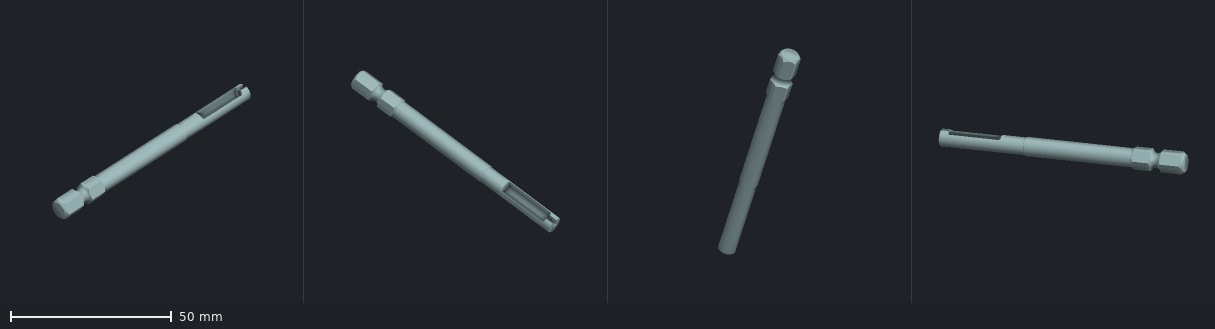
import cadquery as cq
import math

TOTAL_LENGTH = 80.0

HEX_ACROSS_FLATS = 6.35
HEX_LENGTH = 17.0
HEX_CORNER_RADIUS = HEX_ACROSS_FLATS / math.sqrt(3)
END_FACE_RADIUS = 2.8
END_CHAMFER_LENGTH = 1.1
SHOULDER_CHAMFER_LENGTH = 0.6

GROOVE_Y = 9.3
GROOVE_FLOOR_RADIUS = 2.33
GROOVE_ARC_RADIUS = 1.9

BODY_RADIUS = 3.0
BODY_END_Y = 52.3
BODY_CHAMFER = 0.15
ROD_RADIUS = 2.77
TIP_CHAMFER = 0.25

TROUGH_RADIUS = 2.05
TROUGH_CORNER_RADIUS = 0.65
TROUGH_START_Y = 60.05
TROUGH_END_Y = TOTAL_LENGTH - 2.75

BORE_RADIUS = 1.4
BORE_END_Y = TOTAL_LENGTH - 1.7
BORE_TAPER_LENGTH = 0.3

SLOT_WIDTH = 1.7
SLOT_FLOOR_Z = -0.4

CLEARANCE = 1.0


def revolve_about_axis(profile):
    """Revolve a closed profile, drawn as (radius, Y), about the Y axis."""
    return profile.close().revolve(360, (0, 0, 0), (0, 1, 0))


def box_between(x_half, y_start, y_end, z_start, z_end):
    """Box centred on X = 0 that spans the given Y and Z ranges."""
    return (
        cq.Workplane("XY")
        .box(2 * x_half, y_end - y_start, z_end - z_start, centered=(True, False, False))
        .translate((0, y_start, z_start))
    )


def make_hex_shank():
    """Hexagonal bar with flats facing +Z and -Z and conical chamfers at both ends."""
    prism = (
        cq.Workplane("XZ")
        .polygon(6, 2 * HEX_CORNER_RADIUS)
        .extrude(-HEX_LENGTH)
    )
    envelope = revolve_about_axis(
        cq.Workplane("XY")
        .moveTo(0, 0)
        .lineTo(END_FACE_RADIUS, 0)
        .lineTo(HEX_CORNER_RADIUS, END_CHAMFER_LENGTH)
        .lineTo(HEX_CORNER_RADIUS, HEX_LENGTH - SHOULDER_CHAMFER_LENGTH)
        .lineTo(BODY_RADIUS, HEX_LENGTH)
        .lineTo(0, HEX_LENGTH)
    )
    return prism.intersect(envelope)


def make_locking_groove():
    """Ring of circular section that cuts the groove around the shank."""
    ring_radius = GROOVE_FLOOR_RADIUS + GROOVE_ARC_RADIUS
    return (
        cq.Workplane("XY")
        .moveTo(ring_radius, GROOVE_Y)
        .circle(GROOVE_ARC_RADIUS)
        .revolve(360, (0, 0, 0), (0, 1, 0))
    )


def make_round_body():
    """Body and thinner rod in one turned piece, chamfered at the step and the tip."""
    return revolve_about_axis(
        cq.Workplane("XY")
        .moveTo(0, HEX_LENGTH)
        .lineTo(BODY_RADIUS, HEX_LENGTH)
        .lineTo(BODY_RADIUS, BODY_END_Y - BODY_CHAMFER)
        .lineTo(BODY_RADIUS - BODY_CHAMFER, BODY_END_Y)
        .lineTo(ROD_RADIUS, BODY_END_Y)
        .lineTo(ROD_RADIUS, TOTAL_LENGTH - TIP_CHAMFER)
        .lineTo(ROD_RADIUS - TIP_CHAMFER, TOTAL_LENGTH)
        .lineTo(0, TOTAL_LENGTH)
    )


def make_trough():
    """U-shaped trough: round bore below, straight-walled opening with rounded corners above."""
    length = TROUGH_END_Y - TROUGH_START_Y
    round_floor = (
        cq.Workplane("XZ", origin=(0, TROUGH_START_Y, 0))
        .circle(TROUGH_RADIUS)
        .extrude(-length)
    )
    opening = box_between(
        TROUGH_RADIUS, TROUGH_START_Y, TROUGH_END_Y, 0, ROD_RADIUS + CLEARANCE
    ).edges("|Z").fillet(TROUGH_CORNER_RADIUS)
    return round_floor.union(opening)


def make_tip_bore():
    """Bore that runs on from the trough, with its mouth tapering to the bore radius."""
    return revolve_about_axis(
        cq.Workplane("XY")
        .moveTo(0, TROUGH_END_Y)
        .lineTo(TROUGH_RADIUS, TROUGH_END_Y)
        .lineTo(BORE_RADIUS, TROUGH_END_Y + BORE_TAPER_LENGTH)
        .lineTo(BORE_RADIUS, BORE_END_Y)
        .lineTo(0, BORE_END_Y)
    )


def make_tip_slot():
    """Flat-floored slot from the trough out through the end of the tip."""
    return box_between(
        SLOT_WIDTH / 2,
        TROUGH_END_Y - TROUGH_CORNER_RADIUS,
        TOTAL_LENGTH + CLEARANCE,
        SLOT_FLOOR_Z,
        ROD_RADIUS + CLEARANCE,
    )


shank = make_hex_shank().cut(make_locking_groove())
result = shank.union(make_round_body())
for cutter in (make_trough(), make_tip_bore(), make_tip_slot()):
    result = result.cut(cutter)